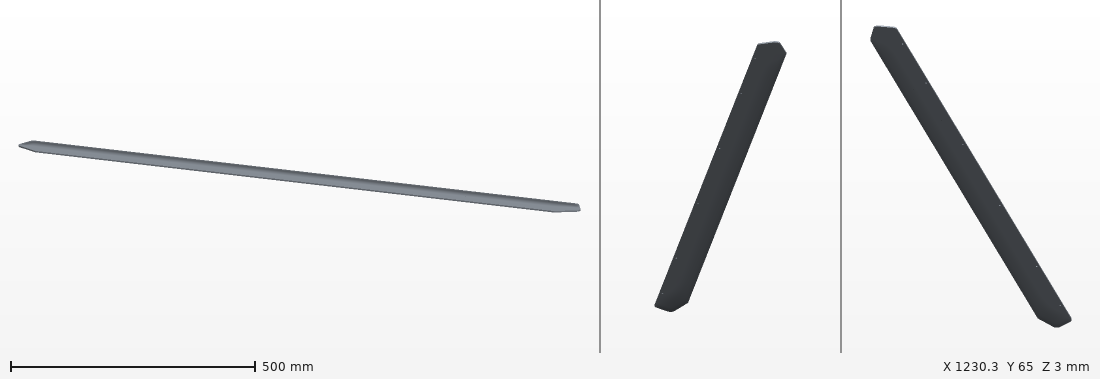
import math

import cadquery as cq

length = 1230.34
width = 65.0
thickness = 3.0
corner_radius = 10.0

tip_from_rear = 40.0
rear_end_angle = math.atan2(2, 1)

hole_diameter = 3.5
hole_from_rear = 6.0
hole_offsets = (125.0, 375.0, 535.0)

rear_y = width / 2
front_y = -width / 2
tip_y = rear_y - tip_from_rear

rounding_loss = corner_radius * (math.cos(rear_end_angle) + math.sin(rear_end_angle) - 1)

tip_x = length / 2 + rounding_loss
rear_x = tip_x - tip_from_rear / math.tan(rear_end_angle)
front_x = tip_x - (width - tip_from_rear) * math.tan(rear_end_angle)


def make_plate():
    outline = [
        (-rear_x, rear_y),
        (rear_x, rear_y),
        (tip_x, tip_y),
        (front_x, front_y),
        (-front_x, front_y),
        (-tip_x, tip_y),
    ]
    plate = cq.Workplane("XY").polyline(outline).close().extrude(thickness)
    return plate.edges("|Z").fillet(corner_radius)


def drill_holes(plate):
    hole_y = rear_y - hole_from_rear
    centers = [(side * offset, hole_y) for offset in hole_offsets for side in (-1, 1)]
    holes = cq.Workplane("XY").pushPoints(centers).circle(hole_diameter / 2).extrude(thickness)
    return plate.cut(holes)


result = drill_holes(make_plate())